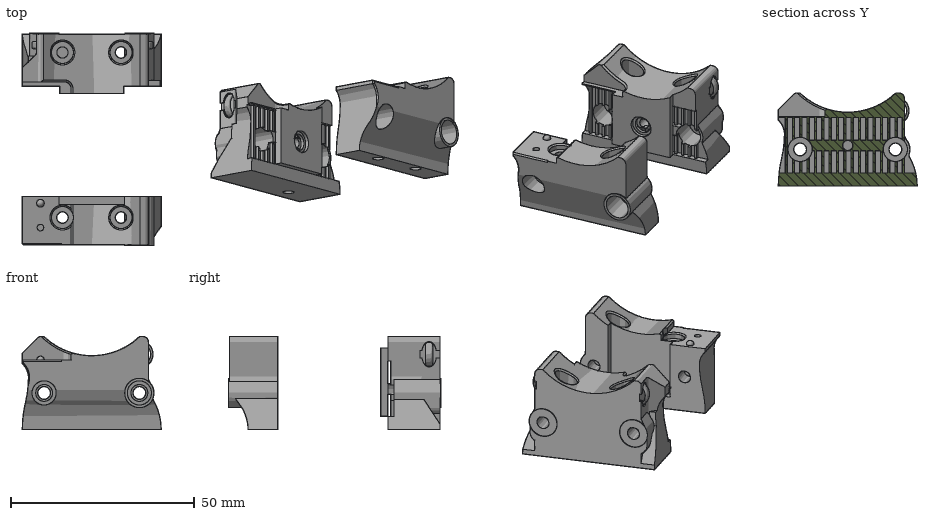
import cadquery as cq
import math

HALF_LENGTH = 18.975
TOP_Z = 25.43
CRADLE_RADIUS = 19.0
CRADLE_AXIS_Z = 39.18
OUTER_Y = 29.0
BOSS_RELIEF = 0.22
FACE_Y = OUTER_Y - BOSS_RELIEF
REAR_INNER_Y = 14.5
FRONT_INNER_Y = -15.5

RIGHT_WALL_X = 15.5
TOP_CORNER_RADIUS = 1.6
LEFT_WAIST_X = -17.3
WAIST_Z = 14.46
LIP_BOTTOM_Z = 18.0
LIP_UNDERCUT_MID = (-17.8, 16.4)
STEP_Z = 19.0
LEFT_CREST_X = -13.96
LEFT_CREST_RADIUS = 1.0

SCREW_X = 13.0
SCREW_Z = 10.0
BOSS_DIA = 8.0
BOSS_SHOULDER_Z = 12.6
BOSS_ROOT_TOP_Z = 8.65
BOSS_ROOT_BEND_Z = 6.65
BOSS_ROOT_BOTTOM_Z = 4.0
SCREW_DIA = 3.4
SCREW_HEAD_DIA = 6.6
SCREW_SEAT_DIA = 4.6
SCREW_SEAT_DEPTH = 0.6
SCREW_HEAD_DEPTH = 8.0

MOUNT_X = 8.0
MOUNT_DIA = 3.06
MOUNT_BORE_DIA = 6.0
MOUNT_BORE_FLOOR_Z = 17.3
MOUNT_RIM = 0.4
MOUNT_REAR_Y = 23.75
MOUNT_FRONT_Y = -21.3
BLIND_MOUNT_BOTTOM_Z = 12.0

STEP_X = -5.6
STEP_CORNER_RADIUS = 2.0
STEP_EDGE_CHAMFER = 0.5

FRONT_TOE_Y = -23.7
PAD_POCKET_HALF_WIDTH = 8.9
PAD_POCKET_DEPTH = 2.2
LEDGE_CHAMFER = 0.4
CORNER_CHAMFER = 0.35
LEDGE_CHAMFER_END_X = -8.3
PEG_X = -14.0
PEG_Y = -17.4
PEG_RADIUS = 1.05
PEG_HOLE_Y = -24.05
PEG_HOLE_DIA = 1.8
PEG_HOLE_DEPTH = 3.0

REAR_LEDGE_DEPTH = 1.25
PAD_HALF_WIDTH = 8.75
PAD_THICKNESS = 2.0
RECESS_BOTTOM_Z = 3.58
RECESS_TOP_Z = 18.67
RECESS_DEPTH = 1.63
RIB_HEIGHT = 0.88
RIB_WIDTH = 0.65
RIB_PITCH = 2.0
RIB_COUNT = 17
FIRST_RIB_X = -16.8
BRIDGE_Z = 11.1
BRIDGE_HEIGHT = 2.95
PAD_CBORE_DIA = 6.0
PAD_CBORE_DEPTH = 1.0
PAD_HOLE_DIA = 4.5
PAD_PILOT_DIA = 2.75
PAD_PILOT_DEPTH = 4.0
REAR_SCREW_BORE_DEPTH = 8.0

EYE_WALL_X = 15.1
EYE_CORNER_Y = 23.3
EYE_SLOPE_END_Y = 19.6
EYE_CORNER_RADIUS = 1.4
EYE_WAIST_END_Y = 22.85
EYE_FOOT_TOP_Z = 10.5
EYE_FOOT_EDGE_Z = 1.4
EYE_Y = 25.75
EYE_Z = 20.55
EYE_WIDTH = 2.0
EYE_RADIUS = 3.77
EYE_THICKNESS = 0.7
EYE_REACH = 1.25
EYE_EDGE_RADIUS = 0.5
EYE_DISH_WIDTH = 4.1
EYE_DISH_HEIGHT = 6.9
STRAP_SLOT_HEIGHT = 2.1
STRAP_SLOT_DEPTH = 0.5


def box(x0, x1, y0, y1, z0, z1):
    """Box between opposite corners."""
    return cq.Workplane("XY").box(x1 - x0, y1 - y0, z1 - z0, centered=False).translate((x0, y0, z0))


def rod_y(x, z, dia, y0, y1):
    """Cylinder along Y from y0 to y1."""
    return cq.Workplane("XZ", origin=(x, y0, z)).circle(dia / 2).extrude(y0 - y1)


def rod_z(x, y, dia, z0, z1):
    """Cylinder along Z from z0 to z1."""
    return cq.Workplane("XY", origin=(x, y, z0)).circle(dia / 2).extrude(z1 - z0)


def cradle_end_x():
    """Distance from the middle at which the cradle meets the flat top."""
    return math.sqrt(CRADLE_RADIUS**2 - (CRADLE_AXIS_Z - TOP_Z) ** 2)


def s_curve_points(top, bottom):
    """Two equal tangent arcs from top down to bottom, vertical at both ends, as four arc points."""
    run = bottom[0] - top[0]
    drop = top[1] - bottom[1]
    arc_radius = (run**2 + drop**2) / (4 * abs(run))
    quarter_angle = math.asin(drop / 2 / arc_radius) / 2
    side_step = math.copysign(arc_radius * (1 - math.cos(quarter_angle)), run)
    down_step = arc_radius * math.sin(quarter_angle)
    middle = ((top[0] + bottom[0]) / 2, (top[1] + bottom[1]) / 2)
    upper = (top[0] + side_step, top[1] - down_step)
    lower = (bottom[0] - side_step, bottom[1] + down_step)
    return upper, middle, lower, bottom


def saddle_block(y0, y1):
    """Saddle outline with a flared foot, swept along Y."""
    corner_x = RIGHT_WALL_X - TOP_CORNER_RADIUS
    corner_z = TOP_Z - TOP_CORNER_RADIUS
    corner_reach = TOP_CORNER_RADIUS * math.sqrt(0.5)

    crest_z = TOP_Z - LEFT_CREST_RADIUS
    crest_mid_angle = math.radians(22.5)
    crest_mid = (
        LEFT_CREST_X - LEFT_CREST_RADIUS * math.sin(crest_mid_angle),
        crest_z + LEFT_CREST_RADIUS * math.cos(crest_mid_angle),
    )
    crest_reach = LEFT_CREST_RADIUS * math.sqrt(0.5)
    slope_top = (LEFT_CREST_X - crest_reach, crest_z + crest_reach)
    slope_bottom_z = slope_top[1] - (HALF_LENGTH + slope_top[0])

    right_upper, right_middle, right_lower, right_foot = s_curve_points(
        (RIGHT_WALL_X, WAIST_Z), (HALF_LENGTH, 0)
    )
    left_upper, left_middle, left_lower, left_foot = s_curve_points(
        (LEFT_WAIST_X, WAIST_Z), (-HALF_LENGTH, 0)
    )
    outline = (
        cq.Workplane("XZ", origin=(0, y0, 0))
        .moveTo(RIGHT_WALL_X, WAIST_Z)
        .lineTo(RIGHT_WALL_X, corner_z)
        .threePointArc((corner_x + corner_reach, corner_z + corner_reach), (corner_x, TOP_Z))
        .lineTo(cradle_end_x(), TOP_Z)
        .threePointArc((0, CRADLE_AXIS_Z - CRADLE_RADIUS), (-cradle_end_x(), TOP_Z))
        .lineTo(LEFT_CREST_X, TOP_Z)
        .threePointArc(crest_mid, slope_top)
        .lineTo(-HALF_LENGTH, slope_bottom_z)
        .lineTo(-HALF_LENGTH, LIP_BOTTOM_Z)
        .threePointArc(LIP_UNDERCUT_MID, (LEFT_WAIST_X, WAIST_Z))
        .threePointArc(left_upper, left_middle)
        .threePointArc(left_lower, left_foot)
        .lineTo(*right_foot)
        .threePointArc(right_lower, right_middle)
        .threePointArc(right_upper, (RIGHT_WALL_X, WAIST_Z))
        .close()
    )
    return outline.extrude(y0 - y1)


def mounting_hole(x, y, bottom_z):
    """Counterbored vertical hole under the cradle."""
    bore = rod_z(x, y, MOUNT_BORE_DIA, MOUNT_BORE_FLOOR_Z, TOP_Z)
    return bore.union(rod_z(x, y, MOUNT_DIA, bottom_z, TOP_Z))


def soften_bore_rim(block, x, y):
    """Chamfer the saddle-shaped rim where a mounting bore opens in the cradle."""
    rim_z = CRADLE_AXIS_Z - math.sqrt(CRADLE_RADIUS**2 - x**2)
    rim_point = (x, y + MOUNT_BORE_DIA / 2, rim_z)
    return block.edges(cq.selectors.NearestToPointSelector(rim_point)).chamfer(MOUNT_RIM)


def front_block():
    outer_y = -FACE_Y
    block = saddle_block(outer_y, FRONT_INNER_Y)

    lip_corner = cq.selectors.BoxSelector(
        (-HALF_LENGTH - 1, outer_y - 1, WAIST_Z),
        (LEFT_WAIST_X, outer_y + 1, STEP_Z + 1),
    )
    block = block.edges(lip_corner).chamfer(CORNER_CHAMFER)

    upper, middle, lower, toe = s_curve_points((outer_y, WAIST_Z), (FRONT_TOE_Y, 0))
    undercut = (
        cq.Workplane("YZ", origin=(-HALF_LENGTH, 0, 0))
        .moveTo(outer_y, WAIST_Z)
        .threePointArc(upper, middle)
        .threePointArc(lower, toe)
        .lineTo(outer_y, 0)
        .close()
        .extrude(2 * HALF_LENGTH)
    )
    block = block.cut(undercut)

    block = block.cut(mounting_hole(MOUNT_X, MOUNT_FRONT_Y, 0))
    block = soften_bore_rim(block, MOUNT_X, MOUNT_FRONT_Y)

    step = box(-HALF_LENGTH, STEP_X, outer_y, FRONT_INNER_Y, STEP_Z, TOP_Z)
    block = block.cut(step)
    crest_z = CRADLE_AXIS_Z - math.sqrt(CRADLE_RADIUS**2 - STEP_X**2)
    crest = cq.selectors.NearestToPointSelector((STEP_X, MOUNT_FRONT_Y, crest_z))
    block = block.edges(crest).chamfer(STEP_EDGE_CHAMFER)
    block = block.cut(mounting_hole(-MOUNT_X, MOUNT_FRONT_Y, 0))
    rim = (
        cq.Workplane("XY", origin=(-MOUNT_X, MOUNT_FRONT_Y, STEP_Z - MOUNT_RIM))
        .circle(MOUNT_BORE_DIA / 2)
        .workplane(offset=MOUNT_RIM)
        .circle(MOUNT_BORE_DIA / 2 + MOUNT_RIM)
        .loft()
    )
    block = block.cut(rim)

    ledge_wedge = (
        cq.Workplane("YZ", origin=(-HALF_LENGTH, 0, 0))
        .moveTo(outer_y, STEP_Z)
        .lineTo(outer_y + LEDGE_CHAMFER, STEP_Z)
        .lineTo(outer_y, STEP_Z - LEDGE_CHAMFER)
        .close()
        .extrude(LEDGE_CHAMFER_END_X + HALF_LENGTH)
    )
    block = block.cut(ledge_wedge)

    block = block.cut(
        box(-PAD_POCKET_HALF_WIDTH, PAD_POCKET_HALF_WIDTH,
            FRONT_INNER_Y - PAD_POCKET_DEPTH, FRONT_INNER_Y, RECESS_BOTTOM_Z, TOP_Z)
    )

    block = block.union(cq.Workplane("XY").sphere(PEG_RADIUS).translate((PEG_X, PEG_Y, STEP_Z)))
    block = block.cut(rod_z(PEG_X, PEG_HOLE_Y, PEG_HOLE_DIA, STEP_Z - PEG_HOLE_DEPTH, STEP_Z))

    block = block.union(rod_y(SCREW_X, SCREW_Z, BOSS_DIA, -OUTER_Y, FRONT_INNER_Y))
    seat_y = -OUTER_Y + SCREW_HEAD_DEPTH
    for x in (-SCREW_X, SCREW_X):
        block = block.cut(rod_y(x, SCREW_Z, SCREW_DIA, -OUTER_Y, FRONT_INNER_Y))
        block = block.cut(rod_y(x, SCREW_Z, SCREW_HEAD_DIA, -OUTER_Y, seat_y))
        block = block.cut(rod_y(x, SCREW_Z, SCREW_SEAT_DIA, seat_y, seat_y + SCREW_SEAT_DEPTH))
    return block


def strap_corner(side, wall_x):
    """Material removed outside a strap eye's wall; side is -1 for left, +1 for right."""
    plan = (
        cq.Workplane("XY")
        .moveTo(side * wall_x, OUTER_Y)
        .lineTo(side * wall_x, EYE_CORNER_Y)
        .lineTo(side * HALF_LENGTH, EYE_SLOPE_END_Y)
        .lineTo(side * HALF_LENGTH, OUTER_Y)
        .close()
        .extrude(TOP_Z)
    )
    inner_edge = cq.selectors.NearestToPointSelector((side * wall_x, EYE_CORNER_Y, TOP_Z / 2))
    plan = plan.edges(inner_edge).fillet(EYE_CORNER_RADIUS)
    foot = (
        cq.Workplane("YZ", origin=(-HALF_LENGTH, 0, 0))
        .moveTo(EYE_SLOPE_END_Y, 0)
        .lineTo(EYE_SLOPE_END_Y, WAIST_Z)
        .lineTo(EYE_WAIST_END_Y, WAIST_Z)
        .lineTo(EYE_WAIST_END_Y, EYE_FOOT_TOP_Z)
        .lineTo(FACE_Y, EYE_FOOT_EDGE_Z)
        .lineTo(FACE_Y, 0)
        .close()
        .extrude(2 * HALF_LENGTH)
    )
    return plan.cut(foot)


def strap_eye(side, wall_x):
    """Half ring standing out of the end wall."""
    axis_x = side * (wall_x + EYE_REACH - EYE_RADIUS)
    y0 = EYE_Y - EYE_WIDTH / 2
    y1 = EYE_Y + EYE_WIDTH / 2
    ring = rod_y(axis_x, EYE_Z, 2 * EYE_RADIUS, y0, y1)
    ring = ring.edges().fillet(EYE_EDGE_RADIUS)
    ring = ring.cut(rod_y(axis_x, EYE_Z, 2 * (EYE_RADIUS - EYE_THICKNESS), y0, y1))
    root_x = side * (wall_x - STRAP_SLOT_DEPTH)
    tip_x = side * (wall_x + EYE_REACH)
    keep = box(min(root_x, tip_x), max(root_x, tip_x), y0, y1, EYE_Z - EYE_RADIUS, EYE_Z + EYE_RADIUS)
    return ring.intersect(keep)


def strap_slot(side, wall_x):
    """Oval dish around the eye, crossed by the shallow strap groove that passes under it."""
    inner_x = side * (wall_x - STRAP_SLOT_DEPTH)
    outer_x = side * wall_x
    half_height = STRAP_SLOT_HEIGHT / 2
    groove = box(min(inner_x, outer_x), max(inner_x, outer_x), EYE_CORNER_Y, FACE_Y,
                 EYE_Z - half_height, EYE_Z + half_height)
    dish = (
        cq.Workplane("YZ", origin=(inner_x, EYE_Y, EYE_Z))
        .ellipse(EYE_DISH_WIDTH / 2, EYE_DISH_HEIGHT / 2)
        .extrude(side * STRAP_SLOT_DEPTH)
    )
    return groove.union(dish)


def rear_boss(x):
    """Round screw boss on a narrower rounded root, with a sloped shoulder up to the end wall."""
    side = math.copysign(1, x)
    floor_y = REAR_INNER_Y + RECESS_DEPTH
    boss_radius = BOSS_DIA / 2
    root_side = math.sqrt(boss_radius**2 - (SCREW_Z - BOSS_ROOT_TOP_Z) ** 2)
    root_x = x + side * root_side
    root_radius = BOSS_ROOT_BEND_Z - BOSS_ROOT_BOTTOM_Z
    bend_reach = root_radius * math.sqrt(0.5)
    bend_x = root_x - side * root_radius
    shoulder_side = math.sqrt(boss_radius**2 - (BOSS_SHOULDER_Z - SCREW_Z) ** 2)
    outline = (
        cq.Workplane("XZ", origin=(0, floor_y, 0))
        .moveTo(x, BOSS_ROOT_BOTTOM_Z)
        .lineTo(bend_x, BOSS_ROOT_BOTTOM_Z)
        .threePointArc(
            (bend_x + side * bend_reach, BOSS_ROOT_BEND_Z - bend_reach),
            (root_x, BOSS_ROOT_BEND_Z),
        )
        .lineTo(root_x, BOSS_ROOT_TOP_Z)
        .lineTo(x, SCREW_Z)
        .lineTo(x + side * shoulder_side, BOSS_SHOULDER_Z)
        .lineTo(side * EYE_WALL_X, WAIST_Z)
        .lineTo(x, WAIST_Z)
        .close()
    )
    root = outline.extrude(floor_y - FACE_Y)
    return root.union(rod_y(x, SCREW_Z, BOSS_DIA, floor_y, OUTER_Y))


def rear_block():
    pad_y = REAR_INNER_Y - PAD_THICKNESS
    floor_y = REAR_INNER_Y + RECESS_DEPTH
    block = saddle_block(REAR_INNER_Y, FACE_Y)

    pad = saddle_block(pad_y, REAR_INNER_Y).intersect(
        box(-PAD_HALF_WIDTH, PAD_HALF_WIDTH, pad_y, REAR_INNER_Y, RECESS_BOTTOM_Z, TOP_Z)
    )

    ledge_wall_y = REAR_INNER_Y + REAR_LEDGE_DEPTH
    ledge = box(-HALF_LENGTH, STEP_X, pad_y, ledge_wall_y, STEP_Z, TOP_Z)
    ledge = ledge.edges("|Z and >X and >Y").fillet(STEP_CORNER_RADIUS)

    recess = box(-HALF_LENGTH, HALF_LENGTH, REAR_INNER_Y, floor_y, RECESS_BOTTOM_Z, RECESS_TOP_Z)
    for index in range(RIB_COUNT):
        rib_x = FIRST_RIB_X + index * RIB_PITCH
        recess = recess.cut(
            box(rib_x - RIB_WIDTH / 2, rib_x + RIB_WIDTH / 2, floor_y - RIB_HEIGHT, floor_y,
                RECESS_BOTTOM_Z, RECESS_TOP_Z)
        )
    recess = recess.cut(
        box(-SCREW_X, SCREW_X, REAR_INNER_Y, floor_y,
            BRIDGE_Z - BRIDGE_HEIGHT / 2, BRIDGE_Z + BRIDGE_HEIGHT / 2)
    )

    for x, bottom_z in ((-MOUNT_X, BLIND_MOUNT_BOTTOM_Z), (MOUNT_X, 0)):
        block = block.cut(mounting_hole(x, MOUNT_REAR_Y, bottom_z))
        block = soften_bore_rim(block, x, MOUNT_REAR_Y)
    block = block.union(pad)
    block = block.cut(ledge)
    crest_x = (STEP_X - STEP_CORNER_RADIUS - cradle_end_x()) / 2
    crest_z = CRADLE_AXIS_Z - math.sqrt(CRADLE_RADIUS**2 - crest_x**2)
    crest = cq.selectors.NearestToPointSelector((crest_x, ledge_wall_y, crest_z))
    block = block.edges(crest).chamfer(STEP_EDGE_CHAMFER)

    for side, wall_x in ((-1, EYE_WALL_X), (1, RIGHT_WALL_X)):
        block = block.cut(strap_corner(side, wall_x))
        block = block.cut(strap_slot(side, wall_x))
        block = block.union(strap_eye(side, wall_x))

    for x in (-SCREW_X, SCREW_X):
        block = block.union(rear_boss(x))
    block = block.cut(recess)
    for x in (-SCREW_X, SCREW_X):
        block = block.cut(rod_y(x, SCREW_Z, SCREW_DIA, REAR_INNER_Y, OUTER_Y))
        block = block.cut(rod_y(x, SCREW_Z, SCREW_HEAD_DIA, REAR_INNER_Y, REAR_INNER_Y + REAR_SCREW_BORE_DEPTH))

    block = block.cut(rod_y(0, BRIDGE_Z, PAD_CBORE_DIA, pad_y, pad_y + PAD_CBORE_DEPTH))
    block = block.cut(rod_y(0, BRIDGE_Z, PAD_HOLE_DIA, pad_y, REAR_INNER_Y))
    block = block.cut(rod_y(0, BRIDGE_Z, PAD_PILOT_DIA, REAR_INNER_Y, REAR_INNER_Y + PAD_PILOT_DEPTH))
    return block


front = front_block()
rear = rear_block()
result = cq.Compound.makeCompound([front.val(), rear.val()])